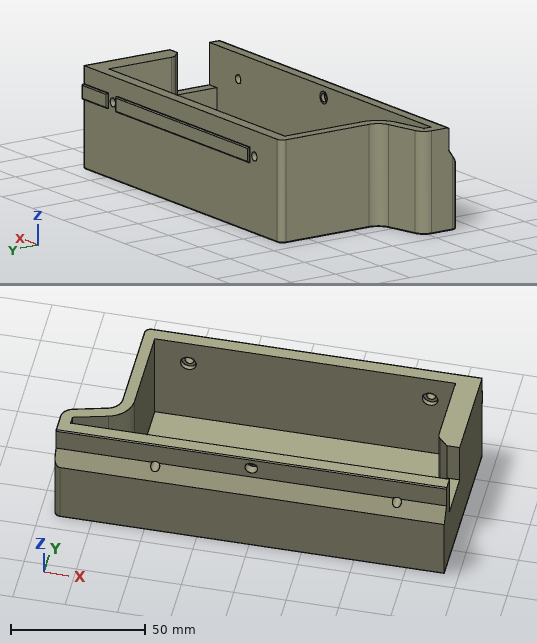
import cadquery as cq
import math

length = 149.1
depth = 66.0
height = 40.0

side_wall = 4.5
back_wall = 4.9
front_wall = 5.0
right_wall = 9.1
floor = 3.0

back_left_x = 20.7
shoulder_y = 15.8
shoulder_angle = math.radians(15)
corner_radius = 2.4
shoulder_front_radius = 5.0
shoulder_back_radius = 6.0

ledge_setback = 4.0
ledge_drop = 9.0
slope_drop = 5.8
edge_chamfer = 0.5

opening_y = 27.0
opening_sill_z = 23.5
opening_bevel = 4.2
opening_bevel_radius = 3.7

screw_x = [38.0, 130.3]
screw_z = 30.0
screw_diameter = 3.5
screw_head_diameter = 6.0
screw_head_depth = 2.0

bush_x = length / 2
bush_z = height - 4.5
bush_diameter = 4.8
bush_bore = 3.3
bush_length = 1.5

rail_height = 6.0
rail_thickness = 0.9
rail_clearance = 2.7

cavity_front_y = ledge_setback + front_wall
cavity_back_y = depth - back_wall
cavity_right_x = length - right_wall


def shoulder_outline(inset, front_y, back_y, right_x):
    """Closed sharp outline, moved inwards from the left side and the shoulder by inset."""
    rise = math.tan(shoulder_angle)
    base_y = shoulder_y - inset / math.cos(shoulder_angle)
    left_x = inset
    back_x = back_left_x + inset
    return (
        cq.Workplane("XY")
        .moveTo(left_x, front_y)
        .lineTo(right_x, front_y)
        .lineTo(right_x, back_y)
        .lineTo(back_x, back_y)
        .lineTo(back_x, base_y + back_x * rise)
        .lineTo(left_x, base_y + left_x * rise)
        .close()
    )


def upright_edge(x, y):
    """Selector for the upright edge that stands at x, y."""
    reach = 0.1
    return cq.selectors.BoxSelector(
        (x - reach, y - reach, -height), (x + reach, y + reach, 2 * height)
    )


def make_block():
    """Solid block with rounded upright edges and a chamfered base."""
    rise = math.tan(shoulder_angle)
    block = shoulder_outline(0, 0, depth, length).extrude(height)
    block = block.edges(upright_edge(0, 0)).fillet(corner_radius)
    block = block.edges(upright_edge(back_left_x, depth)).fillet(corner_radius)
    block = block.edges(upright_edge(0, shoulder_y)).fillet(shoulder_front_radius)
    shoulder_back_y = shoulder_y + back_left_x * rise
    block = block.edges(upright_edge(back_left_x, shoulder_back_y)).fillet(shoulder_back_radius)
    return block.faces("<Z").edges().chamfer(edge_chamfer)


def make_cavity():
    """Inside of the tray, widened by a bevel towards the opening in the right wall."""
    inner_back_x = back_left_x + side_wall
    inner_y = (
        shoulder_y
        - side_wall / math.cos(shoulder_angle)
        + inner_back_x * math.tan(shoulder_angle)
    )
    cavity = shoulder_outline(side_wall, cavity_front_y, cavity_back_y, cavity_right_x).extrude(height)
    inner_radius = shoulder_back_radius + side_wall
    cavity = cavity.edges(upright_edge(inner_back_x, inner_y)).fillet(inner_radius)
    bevel = (
        cq.Workplane("XY")
        .moveTo(cavity_right_x - opening_bevel, cavity_front_y)
        .lineTo(cavity_right_x + opening_bevel, cavity_front_y)
        .lineTo(cavity_right_x + opening_bevel, opening_y)
        .lineTo(cavity_right_x, opening_y + opening_bevel)
        .lineTo(cavity_right_x - opening_bevel, opening_y + opening_bevel)
        .close()
        .extrude(height)
    )
    cavity = cavity.union(bevel)
    cavity = cavity.edges(upright_edge(cavity_right_x, opening_y + opening_bevel)).fillet(opening_bevel_radius)
    return cavity.translate((0, 0, floor))


def make_opening():
    """Space above the sill in the right wall."""
    return cq.Workplane("XY").box(
        right_wall, opening_y - cavity_front_y, height, centered=False
    ).translate((cavity_right_x + opening_bevel, cavity_front_y, opening_sill_z))


def make_ledge():
    """Material removed in front of the upper front wall and its slope."""
    ledge_z = height - ledge_drop
    return (
        cq.Workplane("YZ")
        .moveTo(0, ledge_z - slope_drop)
        .lineTo(ledge_setback, ledge_z)
        .lineTo(ledge_setback, height - edge_chamfer)
        .lineTo(ledge_setback + edge_chamfer, height)
        .lineTo(0, height)
        .close()
        .extrude(length)
    )


def bore(x, z, diameter, start_y, reach):
    """Cylinder along +Y that starts at start_y."""
    return cq.Workplane("XZ", origin=(x, start_y, z)).circle(diameter / 2).extrude(-reach)


def make_rail(start_x, end_x, chamfered_edges):
    """Length of rail on the back face; chamfered_edges picks the outer edges to chamfer."""
    rail = cq.Workplane("XY").box(end_x - start_x, rail_thickness, rail_height, centered=(False, False, True))
    rail = rail.translate((start_x, depth, screw_z))
    outer_edges = rail.faces(">Y").edges()
    return outer_edges.edges(chamfered_edges).chamfer(edge_chamfer)


def make_housing():
    """Tray with its rail, screw holes and the seat for the bush."""
    housing = make_block().cut(make_cavity()).cut(make_opening()).cut(make_ledge())
    housing = housing.union(make_rail(screw_x[0] + rail_clearance, screw_x[1] - rail_clearance, "|X or |Z"))
    housing = housing.union(make_rail(screw_x[1] + rail_clearance, length, "|X or (|Z and <X)"))
    for x in screw_x:
        housing = housing.cut(bore(x, screw_z, screw_diameter, 0, depth))
        housing = housing.cut(bore(x, screw_z, screw_head_diameter, cavity_back_y, screw_head_depth))
    return housing.cut(bore(bush_x, bush_z, bush_diameter, 0, cavity_front_y)).solids()


def make_bush():
    """Ring flush with the inner side of the front wall."""
    start_y = cavity_front_y - bush_length
    bush = bore(bush_x, bush_z, bush_diameter, start_y, bush_length)
    return bush.cut(bore(bush_x, bush_z, bush_bore, start_y, bush_length)).solids()


housing = make_housing()
bush = make_bush()
result = cq.Compound.makeCompound([housing.val(), bush.val()])